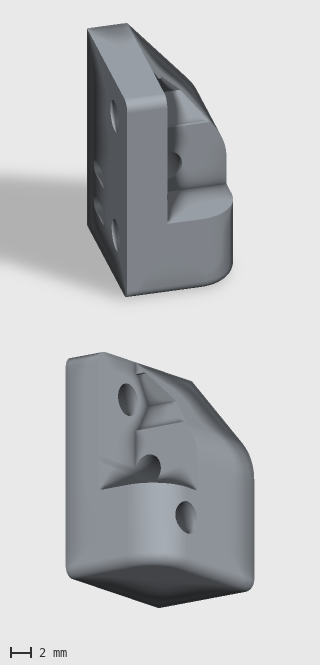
import cadquery as cq

width = 15.0
depth = 11.5
height = 22.0

plate_thickness = 4.0
slope_foot_height = 13.2
slope_radius = 6.0
gusset_width = 9.1
block_height = 8.0

edge_radius = 1.03
block_corner_radius = 4.0

mount_hole_diameter = 3.2
upper_hole_x = 10.32
upper_hole_z = 18.0
lower_hole_x = 10.8
lower_hole_z = 5.0
nut_across_corners = 6.51

cross_hole_diameter = 3.1
cross_hole_y = 5.5
cross_hole_z = height / 2

slot_length = 4.14
slot_width = 1.65
slot_depth = plate_thickness
slot_center_x = 4.6
slot_heights = (4.27, 8.4)


def make_body():
    """Gusseted block with its open corner removed and its edges rounded."""
    body = (
        cq.Workplane("YZ")
        .polyline([
            (0, 0),
            (depth, 0),
            (depth, slope_foot_height),
            (plate_thickness, height),
            (0, height),
        ])
        .close()
        .extrude(width)
    )
    body = body.edges(cq.selectors.NearestToPointSelector((width / 2, depth, slope_foot_height)))
    body = body.fillet(slope_radius)

    open_space = cq.Workplane().box(width, depth, height, centered=False)
    body = body.cut(open_space.translate((gusset_width, plate_thickness, block_height)))

    block_corner = cq.selectors.NearestToPointSelector((width, depth, block_height / 2))
    body = body.edges(block_corner).fillet(block_corner_radius)
    plate_corner = cq.selectors.NearestToPointSelector((width, plate_thickness / 2, height))
    body = body.edges(plate_corner).fillet(edge_radius)
    return body.faces("<Z").edges(">Y").fillet(edge_radius)


def along_y(x, z, start_y=0.0):
    """Workplane at (x, start_y, z) whose extrusions run toward +Y."""
    return cq.Workplane(cq.Plane(origin=(x, start_y, z), xDir=(1, 0, 0), normal=(0, 1, 0)))


def make_mount_hole(x, z):
    return along_y(x, z).circle(mount_hole_diameter / 2).extrude(depth)


def make_nut_clearance():
    """Hexagonal passage behind the upper hole, with a corner toward -X."""
    passage = along_y(upper_hole_x, upper_hole_z, plate_thickness)
    return passage.polygon(6, nut_across_corners).extrude(depth - plate_thickness)


def make_cross_hole():
    hole = cq.Workplane("YZ").center(cross_hole_y, cross_hole_z)
    return hole.circle(cross_hole_diameter / 2).extrude(width)


def make_slot(z):
    return along_y(slot_center_x, z).slot2D(slot_length, slot_width).extrude(slot_depth)


result = make_body()
result = result.cut(make_mount_hole(upper_hole_x, upper_hole_z))
result = result.cut(make_mount_hole(lower_hole_x, lower_hole_z))
result = result.cut(make_nut_clearance())
result = result.cut(make_cross_hole())
for slot_z in slot_heights:
    result = result.cut(make_slot(slot_z))